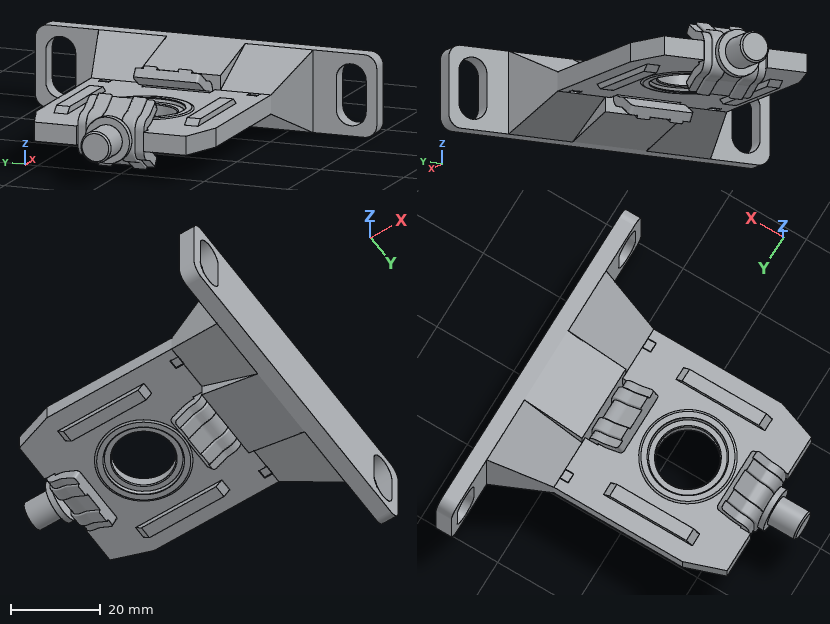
import math

import cadquery as cq

TOTAL_WIDTH = 82.0
TOTAL_LENGTH = 71.0
TOTAL_HEIGHT = 19.0

PLATE_THICKNESS = 4.4
PLATE_WIDTH = 43.1
PLATE_LEFT = -21.2
NOSE_WIDTH = 36.4
NOSE_LENGTH = 9.7
PLATE_TOP = PLATE_THICKNESS / 2

FLANGE_RIGHT = 40.9
FLANGE_THICKNESS = 4.0
FLANGE_LEFT = FLANGE_RIGHT - FLANGE_THICKNESS
FLANGE_CORNER_RADIUS = 3.0
NECK_LEFT = 21.9
NECK_END_WIDTH = 51.5
GUSSET_WIDTH = 18.9
GUSSET_START_HEIGHT = 11.15
SLOT_WIDTH = 7.1
SLOT_HEIGHT = 14.2
SLOT_OFFSET = 34.85

RAIL_BOTTOM_LENGTH = 23.1
RAIL_END_RUN = 1.55
RAIL_HEIGHT = 1.4
RAIL_WIDTH = 3.2
RAIL_OFFSET = 15.7
POCKET_LENGTH = 2.1
POCKET_WIDTH = 2.4
POCKET_DEPTH = 0.4
POCKET_OFFSET = 17.8

CLIP_OUTER = 20.8
CLIP_CENTER = 0.1
CLIP_THICKNESS = 2.2
CLIP_WIDTH = 15.8
CLIP_ARM_RUN = 3.7
CLIP_FLARE_RUN = 3.7
CLIP_ARM_ANGLE = math.radians(14)
CLIP_FLARE_ANGLE = math.radians(34)
CLIP_SHOULDER_RADIUS = 2.7
CLIP_BEND_RADIUS = 1.9
CLIP_TIP_RADIUS = 0.8
BAND_HEIGHT = 0.65
BAND_WIDTH = 3.3
BAND_OFFSET = 4.2
BAND_EDGE_RADIUS = 0.3
CLIP_SEAT_WIDTH = 16.15

BUSHING_RADIUS = 11.0
BUSHING_BORE_RADIUS = 7.2
BUSHING_RISE = 0.25
BUSHING_EDGE_WIDTH = 0.5
BUSHING_RECESS_RADIUS = 9.1
BUSHING_RECESS_STEP = 0.25
BUSHING_LEDGE_RADIUS = 8.8
BUSHING_LEDGE_DEPTH = 0.65
BUSHING_BORE_CHAMFER = 0.25

PIN_DIAMETER = 7.2
PIN_COLLAR_DIAMETER = 10.7
PIN_COLLAR_THICKNESS = 1.5
PIN_CHAMFER = 0.4
PIN_LEFT = FLANGE_RIGHT - TOTAL_LENGTH
PIN_RIGHT = CLIP_CENTER - CLIP_OUTER - BAND_HEIGHT


def tapered_block(start_width, start_height, end_width, end_height):
    """Block whose section grows from the plate end of the neck to the flange."""
    return (
        cq.Workplane("YZ", origin=(NECK_LEFT, 0, 0))
        .rect(start_width, start_height)
        .workplane(offset=FLANGE_LEFT - NECK_LEFT)
        .rect(end_width, end_height)
        .loft(ruled=True)
    )


def make_plate():
    shoulder_x = PLATE_LEFT + NOSE_LENGTH
    return (
        cq.Workplane("XY", origin=(0, 0, -PLATE_TOP))
        .moveTo(NECK_LEFT, -PLATE_WIDTH / 2)
        .lineTo(NECK_LEFT, PLATE_WIDTH / 2)
        .lineTo(shoulder_x, PLATE_WIDTH / 2)
        .lineTo(PLATE_LEFT, NOSE_WIDTH / 2)
        .lineTo(PLATE_LEFT, -NOSE_WIDTH / 2)
        .lineTo(shoulder_x, -PLATE_WIDTH / 2)
        .close()
        .extrude(PLATE_THICKNESS)
    )


def make_flange():
    flange = (
        cq.Workplane("YZ", origin=(FLANGE_LEFT, 0, 0))
        .rect(TOTAL_WIDTH, TOTAL_HEIGHT)
        .extrude(FLANGE_THICKNESS)
        .edges("|X")
        .fillet(FLANGE_CORNER_RADIUS)
    )
    slots = (
        cq.Workplane("YZ", origin=(FLANGE_LEFT, 0, 0))
        .pushPoints([(-SLOT_OFFSET, 0), (SLOT_OFFSET, 0)])
        .slot2D(SLOT_HEIGHT, SLOT_WIDTH, 90)
        .extrude(FLANGE_THICKNESS)
    )
    return flange.cut(slots)


def make_rail(y):
    """Rail with sloped ends, standing out of both faces of the plate."""
    half_bottom = RAIL_BOTTOM_LENGTH / 2
    half_top = half_bottom - RAIL_END_RUN
    rail_top = PLATE_TOP + RAIL_HEIGHT
    upper = [
        (-half_bottom, PLATE_TOP),
        (-half_top, rail_top),
        (half_top, rail_top),
        (half_bottom, PLATE_TOP),
    ]
    lower = [(x, -z) for x, z in reversed(upper)]
    return (
        cq.Workplane("XZ", origin=(0, y + RAIL_WIDTH / 2, 0))
        .polyline(upper + lower)
        .close()
        .extrude(RAIL_WIDTH)
    )


def make_clip_seat(x_start, x_end):
    """Cutter for the opening in which a clip's web sits."""
    return cq.Workplane("XY").box(x_end - x_start, CLIP_SEAT_WIDTH, PLATE_THICKNESS).translate(
        ((x_start + x_end) / 2, 0, 0)
    )


def make_pocket(y, side):
    """Cutter half sunk into the plate face on the given side."""
    return cq.Workplane("XY").box(POCKET_LENGTH, POCKET_WIDTH, 2 * POCKET_DEPTH).translate(
        (NECK_LEFT - POCKET_LENGTH / 2, y, side * PLATE_TOP)
    )


def make_bracket():
    bracket = make_plate().union(make_flange())
    bracket = bracket.union(tapered_block(PLATE_WIDTH, PLATE_THICKNESS, NECK_END_WIDTH, TOTAL_HEIGHT))
    bracket = bracket.union(tapered_block(GUSSET_WIDTH, GUSSET_START_HEIGHT, GUSSET_WIDTH, TOTAL_HEIGHT))
    for end in (-1, 1):
        bracket = bracket.union(make_rail(end * RAIL_OFFSET))
        for side in (-1, 1):
            bracket = bracket.cut(make_pocket(end * POCKET_OFFSET, side))

    seat_inner = CLIP_OUTER - CLIP_THICKNESS
    bracket = bracket.cut(make_clip_seat(PLATE_LEFT, CLIP_CENTER - seat_inner))
    bracket = bracket.cut(make_clip_seat(CLIP_CENTER + seat_inner, NECK_LEFT))

    bushing_hole = cq.Workplane("XY").circle(BUSHING_RADIUS).extrude(PLATE_TOP, both=True)
    return bracket.cut(bushing_hole)


def clip_profile(rise):
    """Upper half of the clip's section, its outer skin lifted by rise above the clip surface."""
    half_turn = (math.pi / 2 - CLIP_ARM_ANGLE) / 2
    shoulder_z = PLATE_TOP + CLIP_SHOULDER_RADIUS * math.tan(half_turn)
    bend_x = CLIP_ARM_RUN - CLIP_OUTER
    bend_z = shoulder_z + CLIP_ARM_RUN * math.tan(CLIP_ARM_ANGLE)
    tip_z = bend_z + CLIP_FLARE_RUN * math.tan(CLIP_FLARE_ANGLE)
    miter_angle = (CLIP_ARM_ANGLE + CLIP_FLARE_ANGLE) / 2
    miter_stretch = 1 / math.cos((CLIP_FLARE_ANGLE - CLIP_ARM_ANGLE) / 2)

    def shoulder(lift):
        return (-CLIP_OUTER - lift, shoulder_z + lift * math.tan(half_turn))

    def bend(lift):
        reach = lift * miter_stretch
        return (bend_x - reach * math.sin(miter_angle), bend_z + reach * math.cos(miter_angle))

    def tip(lift):
        return (
            bend_x + CLIP_FLARE_RUN - lift * math.sin(CLIP_FLARE_ANGLE),
            tip_z + lift * math.cos(CLIP_FLARE_ANGLE),
        )

    outer_skin = [shoulder(rise), bend(rise), tip(rise)]
    inner_skin = [tip(-CLIP_THICKNESS), bend(-CLIP_THICKNESS), shoulder(-CLIP_THICKNESS)]
    return outer_skin + inner_skin


def near(x, z):
    """Selector for the edges across the clip that run through the point (x, z)."""
    reach = 0.1
    return cq.selectors.BoxSelector(
        (x - reach, -CLIP_WIDTH, z - reach), (x + reach, CLIP_WIDTH, z + reach)
    )


def clip_layer(rise, width):
    """C-shaped strip opening towards +X, with rounded shoulders and bends."""
    upper = clip_profile(rise)
    lower = [(x, -z) for x, z in reversed(upper)]
    strip = cq.Workplane("XZ").polyline(upper + lower).close().extrude(width / 2, both=True)

    outer_shoulder, outer_bend, _, _, inner_bend, _ = upper
    rounds = [
        (outer_shoulder, CLIP_SHOULDER_RADIUS + rise),
        (outer_bend, CLIP_BEND_RADIUS - rise),
        (inner_bend, CLIP_BEND_RADIUS + CLIP_THICKNESS),
    ]
    for (x, z), radius in rounds:
        for side in (-1, 1):
            strip = strip.edges(near(x, side * z)).fillet(radius)
    return strip


def make_band():
    """Raised band around the clip, its long outer edges rounded."""
    band = clip_layer(BAND_HEIGHT, BAND_WIDTH)
    outer_edges = band.faces("<X").edges("|Z")
    return outer_edges.fillet(BAND_EDGE_RADIUS)


def make_clip():
    clip = clip_layer(0, CLIP_WIDTH)
    tip_zone = cq.selectors.BoxSelector(
        (CLIP_ARM_RUN + CLIP_FLARE_RUN - CLIP_OUTER, -CLIP_WIDTH, -TOTAL_HEIGHT),
        (0, CLIP_WIDTH, TOTAL_HEIGHT),
    )
    clip = clip.edges(tip_zone).edges("not |Y").fillet(CLIP_TIP_RADIUS)
    band = make_band()
    for end in (-1, 1):
        clip = clip.union(band.translate((0, end * BAND_OFFSET, 0)))
    return clip


def make_bushing():
    rim_z = PLATE_TOP + BUSHING_RISE
    ledge_z = PLATE_TOP - BUSHING_LEDGE_DEPTH
    upper = [
        (BUSHING_BORE_RADIUS, ledge_z - BUSHING_BORE_CHAMFER),
        (BUSHING_BORE_RADIUS + BUSHING_BORE_CHAMFER, ledge_z),
        (BUSHING_LEDGE_RADIUS, ledge_z),
        (BUSHING_RECESS_RADIUS, rim_z - BUSHING_RECESS_STEP),
        (BUSHING_RECESS_RADIUS, rim_z),
        (BUSHING_RADIUS - BUSHING_EDGE_WIDTH, rim_z),
        (BUSHING_RADIUS, PLATE_TOP),
    ]
    lower = [(r, -z) for r, z in reversed(upper)]
    return (
        cq.Workplane("XZ")
        .polyline(upper + lower)
        .close()
        .revolve(360, (0, 0, 0), (0, 1, 0))
    )


def make_pin():
    collar_left = PIN_RIGHT - PIN_COLLAR_THICKNESS
    shaft = (
        cq.Workplane("YZ", origin=(PIN_LEFT, 0, 0))
        .circle(PIN_DIAMETER / 2)
        .extrude(PIN_RIGHT - PIN_LEFT)
        .faces("<X")
        .chamfer(PIN_CHAMFER)
    )
    collar = (
        cq.Workplane("YZ", origin=(collar_left, 0, 0))
        .circle(PIN_COLLAR_DIAMETER / 2)
        .extrude(PIN_COLLAR_THICKNESS)
    )
    return shaft.union(collar)


bracket = make_bracket()
bushing = make_bushing()
pin = make_pin()
left_clip = make_clip()
clips = [
    left_clip.translate((CLIP_CENTER, 0, 0)),
    left_clip.mirror("YZ").translate((CLIP_CENTER, 0, 0)),
]

result = cq.Compound.makeCompound(
    [bracket.val(), bushing.val(), pin.val()] + [clip.val() for clip in clips]
)